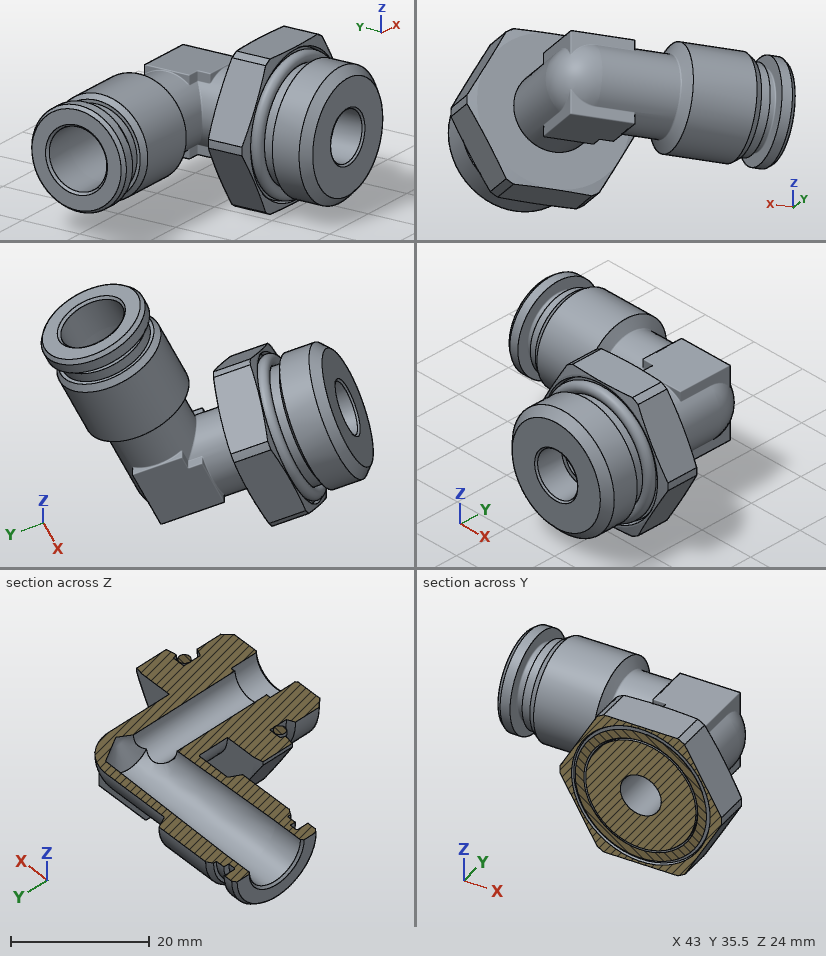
import cadquery as cq
import math

TOLERANCE = 0.0005


LEG_RADIUS = 6.25
BLEND_RADIUS = 0.2

PAD_OUTER = 4.05
PAD_INNER = 6.05
PAD_NOTCH = 3.87
PAD_HEIGHT = 6.5
PAD_FILLET = 0.17

MOUTH_X = 29.58
FLANGE_BACK_X = 27.3
STEP_X = 25.95
SLEEVE_FRONT_X = 24.35
SLEEVE_BACK_X = 13.4
CONE_END_X = 12.35
SLEEVE_RADIUS = 8.22
FLANGE_CHAMFER_LENGTH = 0.65
FLANGE_CHAMFER_DEPTH = 0.47
COLLET_NECK_RADIUS = 6.05
STEP_RADIUS = 7.0
SLEEVE_CHAMFER_LENGTH = 1.0
SLEEVE_CHAMFER_DEPTH = 0.65

TUBE_RADIUS = 5.0
TUBE_MOUTH_RADIUS = 5.4
TUBE_STRAIGHT_DEPTH = 5.65
TUBE_END_RADIUS = 4.45
TUBE_END_X = 2.02
DRILL_HALF_ANGLE = 59

HEX_FLATS = 24.0
HEX_CORNER_RADIUS = 13.47
HEX_TOP_Y = -11.8
HEX_BOTTOM_Y = -18.2
HEX_CHAMFER_START_RADIUS = 11.95
HEX_CHAMFER_ANGLE = 11

NECK_RADIUS = 9.2
THREAD_RADIUS = 10.5
THREAD_NECK_Y = -20.6
THREAD_START_Y = -21.22
STUD_END_Y = -27.3
THREAD_CHAMFER = 1.4

STUD_BORE_RADIUS = 3.35
COUNTERBORE_RADIUS = 4.15
COUNTERBORE_DEPTH = 5.15
COUNTERBORE_CHAMFER = 0.3

RING_SECTION_RADIUS = 1.0
RING_MEAN_RADIUS = NECK_RADIUS + RING_SECTION_RADIUS
RING_CENTER_Y = -18.45
GROOVE_MOUTH_RADIUS = 11.62
GROOVE_FLOOR_RADIUS = 11.35
GROOVE_FLOOR_Y = RING_CENTER_Y + RING_SECTION_RADIUS


def revolve_about_x(points):
    """Solid of revolution about X from (x, radius) points."""
    return cq.Workplane("XY").polyline(points).close().revolve(360, (0, 0, 0), (1, 0, 0))


def revolve_about_y(points):
    """Solid of revolution about Y from (radius, y) points."""
    return cq.Workplane("XY").polyline(points).close().revolve(360, (0, 0, 0), (0, 1, 0))


def fillet_circle(body, center, radius, fillet_radius):
    """Fillet the full circular edge of the given center and radius."""
    def is_wanted(edge):
        at_center = (edge.Center() - cq.Vector(*center)).Length < TOLERANCE
        return at_center and abs(edge.radius() - radius) < TOLERANCE

    return body.edges("%CIRCLE").filter(is_wanted).fillet(fillet_radius)


def make_tube_leg():
    leg = revolve_about_x([
        (0, 0),
        (-MOUTH_X, 0),
        (-MOUTH_X, SLEEVE_RADIUS - FLANGE_CHAMFER_DEPTH),
        (-MOUTH_X + FLANGE_CHAMFER_LENGTH, SLEEVE_RADIUS),
        (-FLANGE_BACK_X, SLEEVE_RADIUS),
        (-FLANGE_BACK_X, COLLET_NECK_RADIUS),
        (-STEP_X, COLLET_NECK_RADIUS),
        (-STEP_X, STEP_RADIUS),
        (-SLEEVE_FRONT_X, STEP_RADIUS),
        (-SLEEVE_FRONT_X, SLEEVE_RADIUS - SLEEVE_CHAMFER_DEPTH),
        (-SLEEVE_FRONT_X + SLEEVE_CHAMFER_LENGTH, SLEEVE_RADIUS),
        (-SLEEVE_BACK_X, SLEEVE_RADIUS),
        (-CONE_END_X, LEG_RADIUS),
        (0, LEG_RADIUS),
    ])
    leg = fillet_circle(leg, (-FLANGE_BACK_X, 0, 0), COLLET_NECK_RADIUS, BLEND_RADIUS)
    leg = fillet_circle(leg, (-CONE_END_X, 0, 0), LEG_RADIUS, BLEND_RADIUS)
    return leg


def make_pads():
    """Square plate with a notch at the inner corner of the elbow, standing out on both Z sides."""
    outline = [
        (PAD_OUTER, PAD_OUTER),
        (-PAD_INNER, PAD_OUTER),
        (-PAD_INNER, -PAD_NOTCH),
        (-PAD_NOTCH, -PAD_NOTCH),
        (-PAD_NOTCH, -PAD_INNER),
        (PAD_OUTER, -PAD_INNER),
    ]
    plate = cq.Workplane("XY").polyline(outline).close().extrude(PAD_HEIGHT, both=True)
    return plate.edges("|Z").fillet(PAD_FILLET).faces("<Z or >Z").edges().fillet(PAD_FILLET)


def make_elbow():
    """Both legs and the pads, with fillets in the inner corner and around the foot of each pad."""
    outer_corner = cq.Workplane("XY").sphere(LEG_RADIUS)
    elbow = make_tube_leg().union(make_stud()).union(outer_corner)

    inner_corner = cq.selectors.BoxSelector(
        (-LEG_RADIUS, -LEG_RADIUS, -PAD_FILLET),
        (-LEG_RADIUS / 2, -LEG_RADIUS / 2, PAD_FILLET),
    )
    elbow = elbow.edges(inner_corner).fillet(PAD_FILLET).union(make_pads())

    def is_pad_foot(edge):
        center = edge.Center()
        within_pad = max(center.x, center.y) < PAD_OUTER + PAD_FILLET
        below_pad_rim = PAD_FILLET < abs(center.z) < PAD_HEIGHT - 2 * PAD_FILLET
        within_elbow = min(center.x, center.y) > -LEG_RADIUS
        return within_pad and below_pad_rim and within_elbow

    return elbow.edges("not |Z").filter(is_pad_foot).fillet(PAD_FILLET)


def make_hexagon():
    height = HEX_TOP_Y - HEX_BOTTOM_Y
    prism = (
        cq.Workplane("XZ", origin=(0, HEX_TOP_Y, 0))
        .polygon(6, HEX_FLATS / math.cos(math.radians(30)))
        .extrude(height)
    )
    drop = (HEX_CORNER_RADIUS - HEX_CHAMFER_START_RADIUS) * math.tan(math.radians(HEX_CHAMFER_ANGLE))
    envelope = revolve_about_y([
        (0, HEX_TOP_Y),
        (HEX_CHAMFER_START_RADIUS, HEX_TOP_Y),
        (HEX_CORNER_RADIUS, HEX_TOP_Y - drop),
        (HEX_CORNER_RADIUS, HEX_BOTTOM_Y + drop),
        (HEX_CHAMFER_START_RADIUS, HEX_BOTTOM_Y),
        (0, HEX_BOTTOM_Y),
    ])
    return prism.intersect(envelope)


def make_stud():
    """Stud leg with its neck and threaded end."""
    return revolve_about_y([
        (0, 0),
        (LEG_RADIUS, 0),
        (LEG_RADIUS, HEX_BOTTOM_Y),
        (NECK_RADIUS, HEX_BOTTOM_Y),
        (NECK_RADIUS, THREAD_NECK_Y),
        (THREAD_RADIUS, THREAD_START_Y),
        (THREAD_RADIUS, STUD_END_Y + THREAD_CHAMFER),
        (THREAD_RADIUS - THREAD_CHAMFER, STUD_END_Y),
        (0, STUD_END_Y),
    ])


def make_ring_groove():
    return revolve_about_y([
        (NECK_RADIUS, HEX_BOTTOM_Y),
        (NECK_RADIUS, GROOVE_FLOOR_Y),
        (GROOVE_FLOOR_RADIUS, GROOVE_FLOOR_Y),
        (GROOVE_MOUTH_RADIUS, HEX_BOTTOM_Y),
    ])


def make_tube_bore():
    """Straight tube seat, slight taper and drill point, with a chamfered mouth."""
    mouth_chamfer = TUBE_MOUTH_RADIUS - TUBE_RADIUS
    drill_point = TUBE_END_RADIUS / math.tan(math.radians(DRILL_HALF_ANGLE))
    return revolve_about_x([
        (-MOUTH_X, 0),
        (-MOUTH_X, TUBE_MOUTH_RADIUS),
        (-MOUTH_X + mouth_chamfer, TUBE_RADIUS),
        (-MOUTH_X + TUBE_STRAIGHT_DEPTH, TUBE_RADIUS),
        (TUBE_END_X, TUBE_END_RADIUS),
        (TUBE_END_X + drill_point, 0),
    ])


def make_stud_bore():
    return revolve_about_y([
        (0, 0),
        (STUD_BORE_RADIUS, 0),
        (STUD_BORE_RADIUS, STUD_END_Y + COUNTERBORE_DEPTH),
        (COUNTERBORE_RADIUS, STUD_END_Y + COUNTERBORE_DEPTH),
        (COUNTERBORE_RADIUS, STUD_END_Y + COUNTERBORE_CHAMFER),
        (COUNTERBORE_RADIUS + COUNTERBORE_CHAMFER, STUD_END_Y),
        (0, STUD_END_Y),
    ])


def make_fitting():
    fitting = make_elbow().union(make_hexagon())
    return fitting.cut(make_ring_groove()).cut(make_tube_bore()).cut(make_stud_bore())


def make_ring():
    return (
        cq.Workplane("XY")
        .center(RING_MEAN_RADIUS, RING_CENTER_Y)
        .circle(RING_SECTION_RADIUS)
        .revolve(360, (-RING_MEAN_RADIUS, 0, 0), (-RING_MEAN_RADIUS, 1, 0))
    )


fitting = make_fitting()
o_ring = make_ring()
result = cq.Compound.makeCompound([fitting.val(), o_ring.val()])